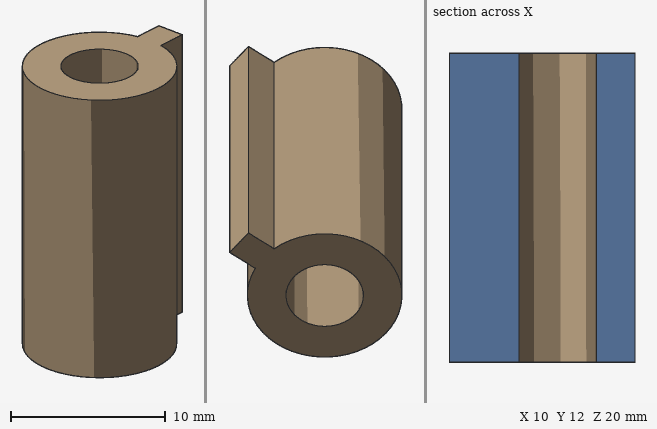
import cadquery as cq

length = 20.0
outer_diameter = 10.0
bore_diameter = outer_diameter / 2
key_width = 2.0
key_height = 2.0

outer_radius = outer_diameter / 2
key_tip = outer_radius + key_height
key_root = (bore_diameter + outer_diameter) / 4

sleeve = cq.Workplane("XY").circle(outer_radius).extrude(length)

key = (
    cq.Workplane("XY")
    .center(0, (key_root + key_tip) / 2)
    .rect(key_width, key_tip - key_root)
    .extrude(length)
)

bore = cq.Workplane("XY").circle(bore_diameter / 2).extrude(length)

result = sleeve.union(key).cut(bore)